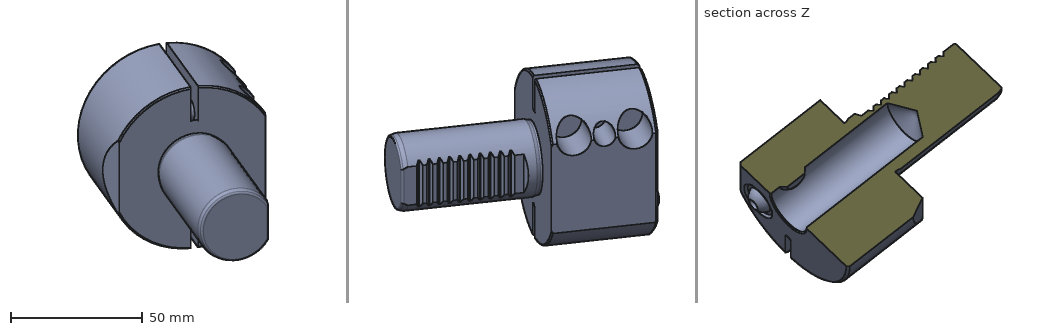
import cadquery as cq
import math

HEAD_DIAMETER = 68.0
HEAD_LENGTH = 42.0
HEAD_RADIUS = HEAD_DIAMETER / 2
SIDE_FLAT_Y = 28.26
FRONT_CHAMFER = 1.0
FLAT_CHAMFER_WIDTH = 1.3
REAR_CHAMFER = 0.6
BEVEL_LENGTH = 8.5
BEVEL_ANGLE = 25.0

BORE_DIAMETER = 20.0
BORE_DEPTH = 60.0
BORE_CHAMFER = 0.5
DRILL_POINT_ANGLE = 118.0

SLOT_WIDTH = 3.0
LOWER_SLOT_TOP_Z = -19.6
LOWER_SLOT_CORNER = 1.0
SAW_RADIUS = 30.0
SAW_CENTER_X = 16.0
SAW_CENTER_Z = 35.0

SCREW_Z = 20.0
SCREW_SPACING = 12.0
SCREW_X = [9.0 + i * SCREW_SPACING for i in range(3)]
SCREW_DIAMETER = 8.0
COUNTERBORE_DIAMETER = 13.5
MIDDLE_HOLE_DIAMETER = 8.5
SCREW_HOLE_DIAMETERS = [COUNTERBORE_DIAMETER, MIDDLE_HOLE_DIAMETER, COUNTERBORE_DIAMETER]
SCREW_HOLE_FLOOR_Y = 12.0

SET_SCREW_X = 11.4
SET_SCREW_DIAMETER = 14.0
SET_SCREW_TIP_DIAMETER = 9.0
SET_SCREW_TIP_Y = 8.06
SET_SCREW_TIP_LENGTH = (SET_SCREW_DIAMETER - SET_SCREW_TIP_DIAMETER) / 2

NOZZLE_Y = 17.0
NOZZLE_Z = -14.0
NOZZLE_BALL_DIAMETER = 12.0
NOZZLE_TIP_DIAMETER = 4.92
NOZZLE_PROTRUSION = 2.47
NOZZLE_HOLE_DEPTH = 5.0
SEAT_FLOOR_DIAMETER = 14.0
SEAT_DEPTH = 1.0

SHANK_DIAMETER = 30.0
SHANK_LENGTH = 55.0
SHANK_RADIUS = SHANK_DIAMETER / 2
UNDERCUT_DIAMETER = 29.1
UNDERCUT_LENGTH = 1.0
UNDERCUT_TAPER_LENGTH = 1.4
END_TAPER_LENGTH = 2.5
END_TAPER_DEPTH = 0.7
END_FILLET = 0.9

RACK_FLAT_Y = 12.6
RACK_START = 5.7
RACK_RUN_IN_LENGTH = 1.3
TOOTH_PITCH = 4.0
GAP_COUNT = 10
FIRST_GAP = 11.8
GAP_DEPTH = 1.3
GAP_TOP_WIDTH = 2.4
GAP_ROOT_WIDTH = 0.4


def turned(profile):
    """Revolve a closed (x, radius) profile about the X axis."""
    return cq.Workplane("XY").polyline(profile).close().revolve(360, (0, 0, 0), (1, 0, 0))


def rod_along_y(x, z, diameter, y_start, y_end):
    """Cylinder parallel to Y between two Y positions."""
    solid = cq.Solid.makeCylinder(
        diameter / 2, y_end - y_start, cq.Vector(x, y_start, z), cq.Vector(0, 1, 0)
    )
    return cq.Workplane(obj=solid)


def prism_along_z(outline):
    """Extrude an XY outline far enough to cross the whole part in Z."""
    return cq.Workplane("XY").polyline(outline).close().extrude(HEAD_RADIUS, both=True)


def make_head():
    head = cq.Workplane("YZ").circle(HEAD_RADIUS).extrude(HEAD_LENGTH)
    head = head.faces("<X").chamfer(FRONT_CHAMFER)
    head = head.faces(">X").chamfer(REAR_CHAMFER)
    beyond_flat = cq.Workplane("XY").box(
        HEAD_LENGTH, HEAD_RADIUS, HEAD_DIAMETER, centered=(False, False, True)
    )
    head = head.cut(beyond_flat.translate((0, SIDE_FLAT_Y, 0)))
    head = head.cut(prism_along_z([
        (0, SIDE_FLAT_Y),
        (0, SIDE_FLAT_Y - FLAT_CHAMFER_WIDTH),
        (FRONT_CHAMFER, SIDE_FLAT_Y),
    ]))
    bevel_depth = BEVEL_LENGTH * math.tan(math.radians(BEVEL_ANGLE))
    bevel = prism_along_z([
        (HEAD_LENGTH - BEVEL_LENGTH, -HEAD_RADIUS),
        (HEAD_LENGTH, -HEAD_RADIUS),
        (HEAD_LENGTH, -HEAD_RADIUS + bevel_depth),
    ])
    return head.cut(bevel)


def make_shank():
    start = HEAD_LENGTH
    end = start + SHANK_LENGTH
    undercut_radius = UNDERCUT_DIAMETER / 2
    undercut_end = start + UNDERCUT_LENGTH
    shank = turned([
        (start, 0),
        (start, undercut_radius),
        (undercut_end, undercut_radius),
        (undercut_end + UNDERCUT_TAPER_LENGTH, SHANK_RADIUS),
        (end - END_TAPER_LENGTH, SHANK_RADIUS),
        (end, SHANK_RADIUS - END_TAPER_DEPTH),
        (end, 0),
    ])
    flat_start = start + RACK_START
    shank = shank.cut(prism_along_z([
        (flat_start, SHANK_RADIUS),
        (flat_start + RACK_RUN_IN_LENGTH, RACK_FLAT_Y),
        (end, RACK_FLAT_Y),
        (end, SHANK_RADIUS),
    ]))
    shank = shank.faces(">X").edges().fillet(END_FILLET)
    for gap in range(GAP_COUNT):
        x = start + FIRST_GAP + gap * TOOTH_PITCH
        shank = shank.cut(prism_along_z([
            (x - GAP_TOP_WIDTH / 2, RACK_FLAT_Y),
            (x - GAP_ROOT_WIDTH / 2, RACK_FLAT_Y - GAP_DEPTH),
            (x + GAP_ROOT_WIDTH / 2, RACK_FLAT_Y - GAP_DEPTH),
            (x + GAP_TOP_WIDTH / 2, RACK_FLAT_Y),
        ]))
    return shank


def make_bore():
    radius = BORE_DIAMETER / 2
    point_length = radius / math.tan(math.radians(DRILL_POINT_ANGLE / 2))
    return turned([
        (0, 0),
        (0, radius + BORE_CHAMFER),
        (BORE_CHAMFER, radius),
        (BORE_DEPTH, radius),
        (BORE_DEPTH + point_length, 0),
    ])


def make_upper_slot():
    """Slot from the bore to the top, its floor rising along a saw-blade arc at the rear."""
    top = HEAD_RADIUS
    rear_offset = HEAD_LENGTH - SAW_CENTER_X
    rear_floor_z = SAW_CENTER_Z - math.sqrt(SAW_RADIUS**2 - rear_offset**2)
    middle_offset = rear_offset / 2
    middle_z = SAW_CENTER_Z - math.sqrt(SAW_RADIUS**2 - middle_offset**2)
    floor_z = SAW_CENTER_Z - SAW_RADIUS
    return (
        cq.Workplane("XZ")
        .moveTo(0, top)
        .lineTo(0, floor_z)
        .lineTo(SAW_CENTER_X, floor_z)
        .threePointArc((SAW_CENTER_X + middle_offset, middle_z), (HEAD_LENGTH, rear_floor_z))
        .lineTo(HEAD_LENGTH, top)
        .close()
        .extrude(SLOT_WIDTH / 2, both=True)
    )


def make_lower_slot():
    height = HEAD_RADIUS + LOWER_SLOT_TOP_Z
    slot = cq.Workplane("XY").box(HEAD_LENGTH, SLOT_WIDTH, height, centered=(False, True, False))
    slot = slot.faces(">Z").edges("|X").fillet(LOWER_SLOT_CORNER)
    return slot.translate((0, 0, -HEAD_RADIUS))


def make_set_screw_tip():
    tip = cq.Solid.makeCone(
        SET_SCREW_TIP_DIAMETER / 2,
        SET_SCREW_DIAMETER / 2,
        SET_SCREW_TIP_LENGTH,
        cq.Vector(SET_SCREW_X, SET_SCREW_TIP_Y, 0),
        cq.Vector(0, 1, 0),
    )
    return cq.Workplane(obj=tip)


def make_nozzle_seat():
    floor_radius = SEAT_FLOOR_DIAMETER / 2
    seat = turned([
        (0, 0),
        (0, floor_radius + SEAT_DEPTH),
        (SEAT_DEPTH, floor_radius),
        (SEAT_DEPTH, 0),
    ])
    return seat.translate((0, NOZZLE_Y, NOZZLE_Z))


def make_nozzle_ball():
    ball_radius = NOZZLE_BALL_DIAMETER / 2
    tip_radius = NOZZLE_TIP_DIAMETER / 2
    center_x = math.sqrt(ball_radius**2 - tip_radius**2) - NOZZLE_PROTRUSION
    return cq.Workplane("XY").sphere(ball_radius).translate((center_x, NOZZLE_Y, NOZZLE_Z))


def make_nozzle_hole():
    """Nozzle opening, which also trims the crown of the ball."""
    crown = NOZZLE_BALL_DIAMETER / 2
    hole = cq.Workplane("YZ").circle(NOZZLE_TIP_DIAMETER / 2).extrude(crown + NOZZLE_HOLE_DEPTH)
    return hole.translate((-NOZZLE_PROTRUSION - crown, NOZZLE_Y, NOZZLE_Z))


result = make_head().union(make_shank())
result = result.cut(make_bore()).cut(make_upper_slot()).cut(make_lower_slot())

for screw_x, hole_diameter in zip(SCREW_X, SCREW_HOLE_DIAMETERS):
    result = result.cut(rod_along_y(screw_x, SCREW_Z, hole_diameter, SCREW_HOLE_FLOOR_Y, HEAD_RADIUS))
    result = result.union(rod_along_y(screw_x, SCREW_Z, SCREW_DIAMETER, -SLOT_WIDTH, SLOT_WIDTH))

result = result.union(make_set_screw_tip())
result = result.cut(make_nozzle_seat()).union(make_nozzle_ball()).cut(make_nozzle_hole())